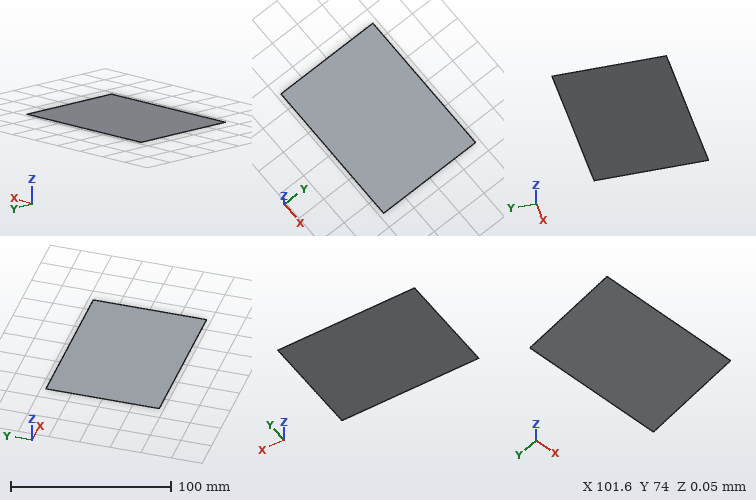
import cadquery as cq

length = 101.6
width = 74.0
thickness = 0.05

result = cq.Workplane("XY").box(length, width, thickness)